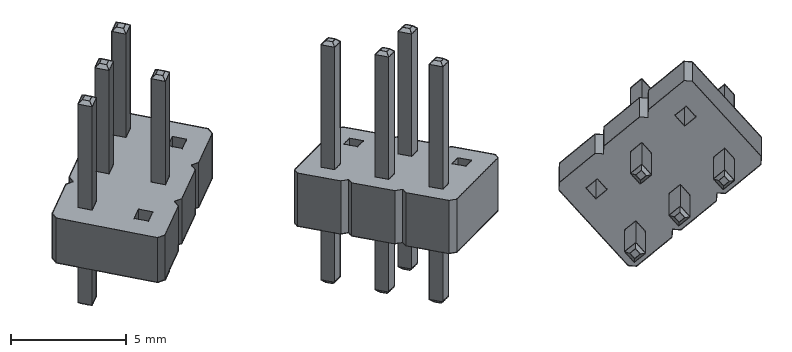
import cadquery as cq

pitch = 2.54
columns = 2
rows = 3
body_height = pitch
edge_cut = 0.25
pin_side = 0.65
pin_length = 11.54
pin_below_body = 3.0
tip_inset = 0.16
tip_height = 0.16

filled_positions = [(0, 0), (0, 1), (0, 2), (1, 1)]

body_width = columns * pitch
body_depth = rows * pitch


def grid_point(column, row):
    """Centre of one pin position, with the body centred on the Z axis."""
    x = (column - (columns - 1) / 2) * pitch
    y = (row - (rows - 1) / 2) * pitch
    return x, y


def make_body():
    """Housing block with chamfered corners, notches and square holes."""
    body = (
        cq.Workplane("XY")
        .box(body_width, body_depth, body_height, centered=(True, True, False))
        .edges("|Z")
        .chamfer(edge_cut)
    )

    for side in (-1, 1):
        outer_x = side * body_width / 2
        for boundary in range(1, rows):
            y = boundary * pitch - body_depth / 2
            notch = (
                cq.Workplane("XY")
                .moveTo(outer_x, y - edge_cut)
                .lineTo(outer_x - side * edge_cut, y)
                .lineTo(outer_x, y + edge_cut)
                .close()
                .extrude(body_height)
            )
            body = body.cut(notch)

    for column in range(columns):
        for row in range(rows):
            if (column, row) not in filled_positions:
                hole = (
                    cq.Workplane("XY")
                    .center(*grid_point(column, row))
                    .rect(pin_side, pin_side)
                    .extrude(body_height)
                )
                body = body.cut(hole)
    return body


def make_pin(column, row):
    """Square pin through the body, tapered at both tips."""
    x, y = grid_point(column, row)
    return (
        cq.Workplane("XY")
        .box(pin_side, pin_side, pin_length, centered=(True, True, False))
        .faces("<Z or >Z")
        .chamfer(tip_height, tip_inset)
        .translate((x, y, -pin_below_body))
    )


result = make_body()
for column, row in filled_positions:
    result = result.union(make_pin(column, row))